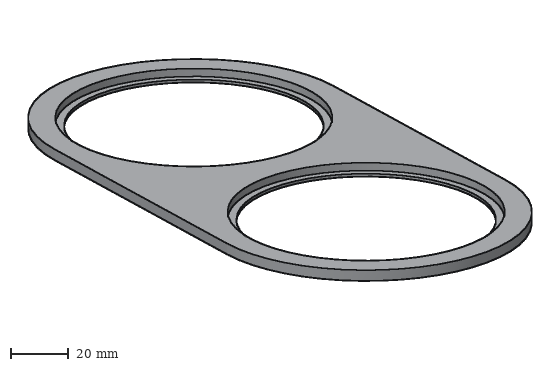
import cadquery as cq

length = 225.0
width = 115.0
thickness = 4.0
hole_diameter = 90.0
recess_diameter = 96.0
recess_depth = 3.0

hole_spacing = length - width
hole_centers = [(-hole_spacing / 2, 0), (hole_spacing / 2, 0)]

plate = cq.Workplane("XY").slot2D(length, width).extrude(thickness)

result = (
    plate.faces(">Z")
    .workplane(origin=(0, 0, thickness))
    .pushPoints(hole_centers)
    .cboreHole(hole_diameter, recess_diameter, recess_depth)
)